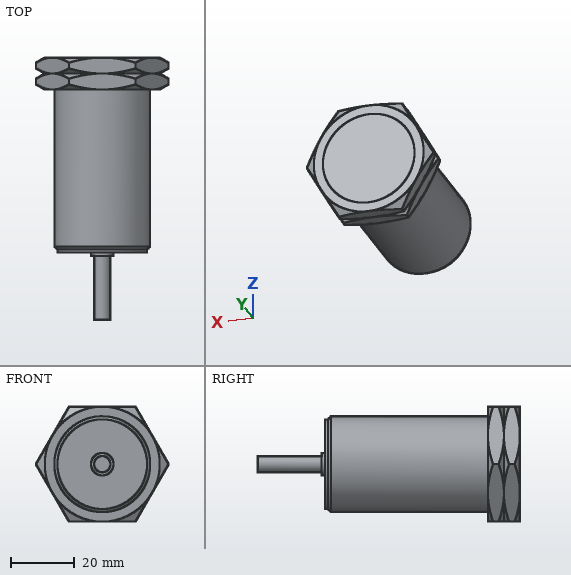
import cadquery as cq
import math

overall_length = 82.0

nut_across_flats = 36.0
nut_thickness = 5.0
nut_count = 2
nut_sides = 6
nut_chamfer_angle = 30.0
nut_corner_radius = nut_across_flats / 2 / math.cos(math.pi / nut_sides)

barrel_radius = 30.0 / 2
step = 1.0
lip_radius = barrel_radius - step
collar_radius = 7.05 / 2
cable_radius = 5.1 / 2
cable_length = 20.0

collar_front = cable_length
lip_front = collar_front + step
bevel_front = lip_front + step
barrel_front = bevel_front + step


def make_sensor():
    """Revolve the barrel, lip, collar and cable as one body around Y."""
    return (
        cq.Workplane("XY")
        .polyline([
            (0, 0),
            (cable_radius, 0),
            (cable_radius, collar_front),
            (collar_radius, collar_front),
            (collar_radius, lip_front),
            (lip_radius, lip_front),
            (lip_radius, bevel_front),
            (barrel_radius, barrel_front),
            (barrel_radius, overall_length),
            (0, overall_length),
        ])
        .close()
        .revolve(360, (0, 0, 0), (0, 1, 0))
    )


def make_nut(front):
    """Make a hex nut from y = front, with conical chamfers on both faces."""
    back = front + nut_thickness
    face_radius = nut_across_flats / 2
    chamfer_depth = (nut_corner_radius - face_radius) * math.tan(math.radians(nut_chamfer_angle))
    hexagon = (
        cq.Workplane("XZ", origin=(0, front, 0))
        .polygon(nut_sides, 2 * nut_corner_radius)
        .extrude(-nut_thickness)
    )
    chamfered_ring = (
        cq.Workplane("XY")
        .polyline([
            (barrel_radius, front),
            (face_radius, front),
            (nut_corner_radius, front + chamfer_depth),
            (nut_corner_radius, back - chamfer_depth),
            (face_radius, back),
            (barrel_radius, back),
        ])
        .close()
        .revolve(360, (0, 0, 0), (0, 1, 0))
    )
    return hexagon.intersect(chamfered_ring).solids()


sensor = make_sensor()

nuts = [
    make_nut(overall_length - (index + 1) * nut_thickness)
    for index in range(nut_count)
]

result = cq.Compound.makeCompound([sensor.val(), *[nut.val() for nut in nuts]])